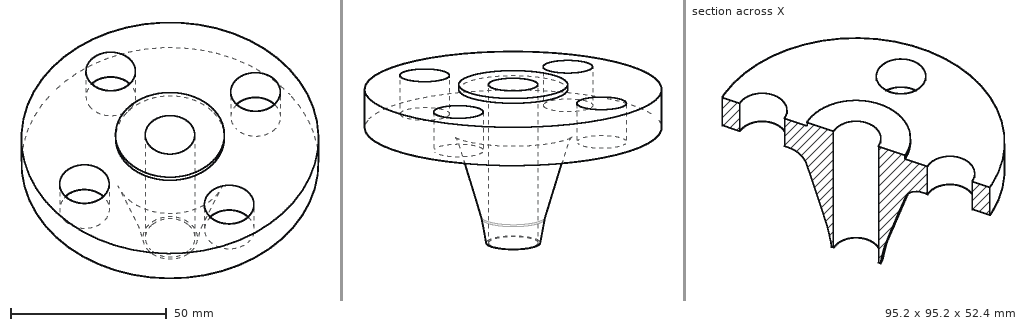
import cadquery as cq

INCH = 25.4
overall_height = 2.0625 * INCH
flange_diameter = 3.75 * INCH
flange_thickness = 0.5 * INCH
raised_face_diameter = 1.375 * INCH
raised_face_height = INCH / 16

hub_root_diameter = 1.5 * INCH
neck_top_diameter = 20.5
neck_end_diameter = 0.6875 * INCH
neck_length = 8.4
hub_blend_radius = 0.25 * INCH

bore_diameter = 0.625 * INCH
bolt_hole_diameter = 0.625 * INCH
bolt_circle_diameter = 2.625 * INCH
bolt_count = 4

match_tolerance = 0.01

flange_top = overall_height - raised_face_height
flange_bottom = flange_top - flange_thickness


def make_body():
    """Revolve the half section of plate, raised face, hub and neck about Z."""
    half_section = (
        cq.Workplane("XZ")
        .moveTo(0, 0)
        .lineTo(neck_end_diameter / 2, 0)
        .lineTo(neck_top_diameter / 2, neck_length)
        .lineTo(hub_root_diameter / 2, flange_bottom)
        .lineTo(flange_diameter / 2, flange_bottom)
        .lineTo(flange_diameter / 2, flange_top)
        .lineTo(raised_face_diameter / 2, flange_top)
        .lineTo(raised_face_diameter / 2, overall_height)
        .lineTo(0, overall_height)
        .close()
    )
    return half_section.revolve(360, (0, 0, 0), (0, 1, 0))


def is_circle_at(edge, diameter, height):
    """Tell whether an edge is the horizontal circle of this diameter and height."""
    if edge.geomType() != "CIRCLE":
        return False
    same_diameter = abs(2 * edge.radius() - diameter) < match_tolerance
    same_height = abs(edge.Center().z - height) < match_tolerance
    return same_diameter and same_height


def blend_hub(body):
    """Round the hub into the plate, and the neck into the hub."""
    for diameter, height in (
        (hub_root_diameter, flange_bottom),
        (neck_top_diameter, neck_length),
    ):
        corner = body.edges().filter(lambda edge: is_circle_at(edge, diameter, height))
        body = corner.fillet(hub_blend_radius)
    return body


def cut_bore(body):
    """Drill the central bore through the full height."""
    return body.faces(">Z").workplane().hole(bore_diameter)


def cut_bolt_holes(body):
    """Drill the bolt holes through the plate, evenly spaced from +X."""
    drills = (
        cq.Workplane("XY")
        .workplane(offset=flange_bottom)
        .polarArray(bolt_circle_diameter / 2, 0, 360, bolt_count)
        .circle(bolt_hole_diameter / 2)
        .extrude(flange_thickness)
    )
    return body.cut(drills)


result = cut_bolt_holes(cut_bore(blend_hub(make_body())))